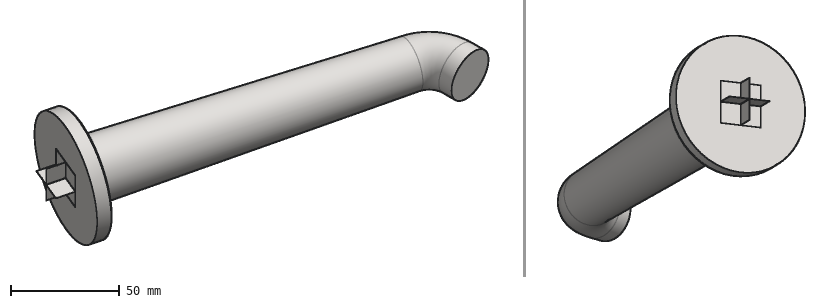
import cadquery as cq
import math


overall_length = 219.8

flange_diameter = 65.3
flange_thickness = 8.0
flange_edge_chamfer = 0.7

marker_size = 20.2
marker_thickness = 0.1

base_diameter = 33.5
tip_diameter = 26.8
tip_offset = 2.5

bend_radius = 20.2
bend_angle = 66.0
outlet_length = 7.7

bend_outer_radius = bend_radius + tip_diameter / 2
bend_rise = bend_outer_radius * math.sin(math.radians(bend_angle))
outlet_rise = outlet_length * math.cos(math.radians(bend_angle))
bend_start = overall_length - marker_size / 2 - bend_rise - outlet_rise
tube_length = bend_start - flange_thickness


def plane_facing_y(x, y):
    """Plane across the spout, with its normal along +Y."""
    return cq.Plane(origin=(x, y, 0), xDir=(1, 0, 0), normal=(0, 1, 0))


def make_flange():
    disc = cq.Workplane(plane_facing_y(0, 0)).circle(flange_diameter / 2).extrude(flange_thickness)
    return disc.faces(">Y").edges().chamfer(flange_edge_chamfer)


def make_tapered_tube():
    return (
        cq.Workplane(plane_facing_y(0, flange_thickness))
        .circle(base_diameter / 2)
        .workplane(offset=tube_length)
        .center(tip_offset, 0)
        .circle(tip_diameter / 2)
        .loft(ruled=True)
    )


def make_bend_and_outlet():
    """Bend towards +X, followed by a short straight outlet."""
    start = plane_facing_y(tip_offset, bend_start)
    bend = (
        cq.Workplane(start)
        .circle(tip_diameter / 2)
        .revolve(bend_angle, (bend_radius, 0, 0), (bend_radius, 1, 0))
    )
    outlet = bend.faces(">X").wires().toPending().workplane().extrude(outlet_length)
    return bend.union(outlet)


def make_marker_sheets():
    """Three thin square sheets, one across each axis, centred on the flange face."""
    sheets = cq.Workplane("XY").box(marker_size, marker_size, marker_thickness)
    sheets = sheets.union(cq.Workplane("XY").box(marker_size, marker_thickness, marker_size))
    return sheets.union(cq.Workplane("XY").box(marker_thickness, marker_size, marker_size))


result = (
    make_flange()
    .union(make_tapered_tube())
    .union(make_bend_and_outlet())
    .union(make_marker_sheets())
)